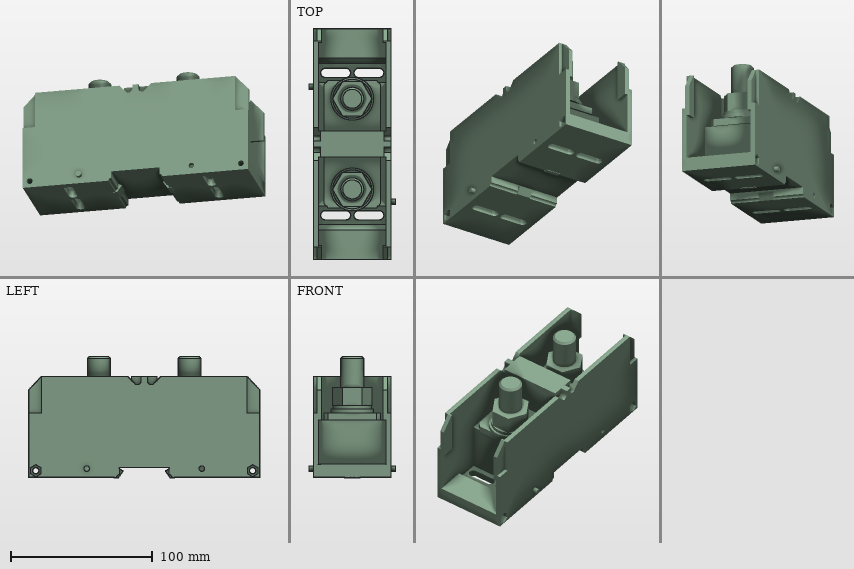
import cadquery as cq
import math

OVERALL_WIDTH = 61.1
LENGTH = 163.0
WIDTH = 54.8
HEIGHT = 71.2
WALL = 3.5
FLOOR_TOP = 9.5
INNER_WIDTH = WIDTH - 2 * WALL

BAY_FLOOR = 4.9
RAMP_TOP_Y = 60.6
RAMP_FOOT_Y = 56.7

END_RECESS_LENGTH = 9.0
END_RECESS_DEPTH = 2.5
END_RECESS_BOTTOM = 45.3
END_BEVEL_DROP = 9.5
LIP_LENGTH = 10.0
LIP_INSET = 5.5
LIP_BOTTOM = 40.5

PARTITION = 18.3
NOTCH_CUT = 5.0
NOTCH_DEPTH = 5.9
NOTCH_START_Y = 2.1
NOTCH_FLAT_END_Y = 5.9
NOTCH_TOP_Y = 11.5
NOTCH_FILLET = 3.0

BLOCK_TOP = 40.5
BLOCK_END_Y = 43.5
PLATE_TOP = 45.3
PLATE_WIDTH = 40.0
PLATE_END_Y = 45.0
PLATE_CHAMFER = 3.0

STUD_Y = 32.0
STUD_DIAMETER = 16.3
STUD_TOP = 85.4
STUD_CHAMFER = 1.5
WASHER_DIAMETER = 30.2
WASHER_TOP = 48.2
SPRING_RING_DIAMETER = 27.4
SPRING_RING_TOP = 50.7
NUT_FLATS = 24.1
NUT_TOP = 63.5

SLOT_Y = 50.2
SLOT_X = 11.7
SLOT_LENGTH = 21.0
SLOT_WIDTH = 6.4

PIN_DIAMETER = 3.9
PIN_REACH = (OVERALL_WIDTH - WIDTH) / 2
SOCKET_DEPTH = PIN_REACH
PIN_Y = 40.6
PIN_Z = 6.2
BOLT_Y = 76.5
BOLT_Z = 4.7
BOLT_DIAMETER = 4.2
HEX_FLATS = 7.3
HEX_DEPTH = 5.0

RAIL_WIDTH = 35.0
RAIL_DEPTH = 6.8
RAIL_FILLET = 2.0
FOOT_WIDTH = 10.6
FOOT_DROP = 0.3
FOOT_BACK_Y = 21.2
FOOT_TOE_Y = 18.3
FOOT_TIP_Y = 14.8
FOOT_TIP_Z = 4.5
FOOT_ROOT_Z = 6.0

ENDS = (1, -1)


def box(size_x, y_from, y_to, z_from, z_to, center_x=0):
    """Box centred on center_x, between two Y values and two Z values."""
    size_y = abs(y_to - y_from)
    solid = cq.Workplane("XY").box(size_x, size_y, z_to - z_from, centered=(True, True, False))
    return solid.translate((center_x, (y_from + y_to) / 2, z_from))


def side_prism(points, x_from, x_to):
    """Prism along X with an outline given as (y, z) points."""
    return cq.Workplane("YZ", origin=(x_from, 0, 0)).polyline(points).close().extrude(x_to - x_from)


def rod(diameter, y, z, x_from, x_to):
    """Round bar along X."""
    return cq.Workplane("YZ", origin=(x_from, y, z)).circle(diameter / 2).extrude(x_to - x_from)


def hexagon_diameter(flats):
    """Circle through the corners of a hexagon with this width across flats."""
    return flats / math.cos(math.pi / 6)


def shell():
    """Open trough with lipped, bevelled wall ends and a sunken terminal bay."""
    half = LENGTH / 2
    body = box(WIDTH, -half, half, 0, HEIGHT)
    body = body.cut(box(INNER_WIDTH, -half, half, FLOOR_TOP, HEIGHT))
    bay = [
        (-RAMP_TOP_Y, FLOOR_TOP),
        (-RAMP_FOOT_Y, BAY_FLOOR),
        (RAMP_FOOT_Y, BAY_FLOOR),
        (RAMP_TOP_Y, FLOOR_TOP),
    ]
    body = body.cut(side_prism(bay, -INNER_WIDTH / 2, INNER_WIDTH / 2))

    for end in ENDS:
        for side in ENDS:
            lip_x = side * (WIDTH - LIP_INSET) / 2
            lip = box(LIP_INSET, end * (half - LIP_LENGTH), end * half, LIP_BOTTOM, HEIGHT, lip_x)
            recess_x = side * (WIDTH - END_RECESS_DEPTH) / 2
            recess_y = end * (half - END_RECESS_LENGTH)
            recess = box(END_RECESS_DEPTH, recess_y, end * half, END_RECESS_BOTTOM, HEIGHT, recess_x)
            body = body.union(lip).cut(recess)
        bevel = [
            (end * half, HEIGHT),
            (end * (half - END_RECESS_LENGTH), HEIGHT),
            (end * half, HEIGHT - END_BEVEL_DROP),
        ]
        body = body.cut(side_prism(bevel, -WIDTH / 2, WIDTH / 2))
    return body


def label_notch(end, side):
    """Notch in the wall top with one sloping flank and one rounded bottom corner."""
    bottom = HEIGHT - NOTCH_DEPTH
    points = [
        (end * NOTCH_START_Y, HEIGHT),
        (end * NOTCH_START_Y, bottom),
        (end * NOTCH_FLAT_END_Y, bottom),
        (end * NOTCH_TOP_Y, HEIGHT),
    ]
    outer_x = side * WIDTH / 2
    inner_x = side * (WIDTH / 2 - NOTCH_CUT)
    notch = side_prism(points, min(outer_x, inner_x), max(outer_x, inner_x))
    corner = cq.selectors.NearestToPointSelector(((outer_x + inner_x) / 2, end * NOTCH_START_Y, bottom))
    return notch.edges(corner).fillet(NOTCH_FILLET)


def terminal(end):
    """Terminal block, busbar plate, washer, spring ring, nut and stud at one end."""
    block = box(INNER_WIDTH, 0, end * BLOCK_END_Y, BAY_FLOOR, BLOCK_TOP)
    plate = box(PLATE_WIDTH, 0, end * PLATE_END_Y, BLOCK_TOP, PLATE_TOP)
    plate = plate.faces(">Y" if end > 0 else "<Y").edges("|Z").chamfer(PLATE_CHAMFER)

    def at_stud(z):
        return cq.Workplane("XY", origin=(0, end * STUD_Y, z))

    washer = at_stud(PLATE_TOP).circle(WASHER_DIAMETER / 2).extrude(WASHER_TOP - PLATE_TOP)
    ring = at_stud(WASHER_TOP).circle(SPRING_RING_DIAMETER / 2).extrude(SPRING_RING_TOP - WASHER_TOP)
    nut = at_stud(SPRING_RING_TOP).polygon(6, hexagon_diameter(NUT_FLATS))
    nut = nut.extrude(NUT_TOP - SPRING_RING_TOP)
    stud = at_stud(PLATE_TOP).circle(STUD_DIAMETER / 2).extrude(STUD_TOP - PLATE_TOP)
    stud = stud.faces(">Z").chamfer(STUD_CHAMFER)
    return block.union(plate).union(washer).union(ring).union(nut).union(stud)


def rail_channel():
    """Rail channel across the underside, flaring out at its mouth."""
    half = RAIL_WIDTH / 2
    mouth = half + RAIL_FILLET
    return (
        cq.Workplane("YZ", origin=(-WIDTH / 2, 0, 0))
        .moveTo(-mouth, 0)
        .radiusArc((-half, RAIL_FILLET), RAIL_FILLET)
        .lineTo(-half, RAIL_DEPTH)
        .lineTo(half, RAIL_DEPTH)
        .lineTo(half, RAIL_FILLET)
        .radiusArc((mouth, 0), RAIL_FILLET)
        .close()
        .extrude(WIDTH)
    )


def snap_foot(end):
    """Pointed foot that reaches into the rail channel."""
    profile = [
        (FOOT_BACK_Y, -FOOT_DROP),
        (FOOT_TOE_Y, -FOOT_DROP),
        (FOOT_TIP_Y, FOOT_TIP_Z),
        (RAIL_WIDTH / 2, FOOT_ROOT_Z),
        (FOOT_BACK_Y, FOOT_ROOT_Z),
    ]
    points = [(end * y, z) for y, z in profile]
    return side_prism(points, -FOOT_WIDTH / 2, FOOT_WIDTH / 2)


def floor_slots():
    """Two pairs of slots through the bay floor."""
    centers = [(side * SLOT_X, end * SLOT_Y) for side in ENDS for end in ENDS]
    return cq.Workplane("XY").pushPoints(centers).slot2D(SLOT_LENGTH, SLOT_WIDTH).extrude(FLOOR_TOP)


def cross_bolt(end):
    """Bolt hole through the floor along X, with a hexagonal nut pocket at the -X side."""
    hole = rod(BOLT_DIAMETER, end * BOLT_Y, BOLT_Z, -WIDTH / 2, WIDTH / 2)
    pocket = cq.Workplane("YZ", origin=(-WIDTH / 2, end * BOLT_Y, BOLT_Z))
    pocket = pocket.transformed(rotate=(0, 0, 90)).polygon(6, hexagon_diameter(HEX_FLATS)).extrude(HEX_DEPTH)
    return hole.union(pocket)


result = shell().union(box(INNER_WIDTH, -PARTITION / 2, PARTITION / 2, 0, HEIGHT))
for end in ENDS:
    for side in ENDS:
        result = result.cut(label_notch(end, side))

for end in ENDS:
    result = result.union(terminal(end))
result = result.cut(rail_channel()).cut(floor_slots())
for end in ENDS:
    result = result.union(snap_foot(end)).cut(cross_bolt(end))

face_x = WIDTH / 2
result = result.union(rod(PIN_DIAMETER, PIN_Y, PIN_Z, -face_x - PIN_REACH, -face_x))
result = result.union(rod(PIN_DIAMETER, -PIN_Y, PIN_Z, face_x, face_x + PIN_REACH))
result = result.cut(rod(PIN_DIAMETER, -PIN_Y, PIN_Z, -face_x, -face_x + SOCKET_DEPTH))
result = result.cut(rod(PIN_DIAMETER, PIN_Y, PIN_Z, face_x - SOCKET_DEPTH, face_x))